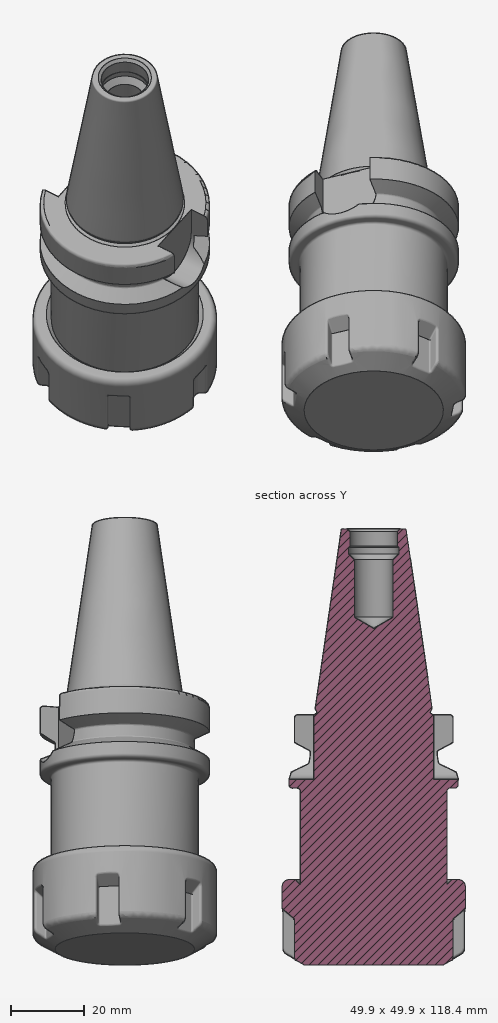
import cadquery as cq
import math


overcut = 1.0
axis_start = (0, 0, 0)
sketch_axis_end = (0, 1, 0)
z_direction = (0, 0, 1)

gauge_radius = 31.75 / 2
taper_length = 48.4
taper_rate = 7 / 24
tip_radius = gauge_radius - taper_length * taper_rate / 2
tip_fillet = 0.5
gauge_land = 0.5
relief_depth = 0.5
relief_bottom_z = -1.5
relief_foot_radius = 16.2

flange_radius = 46 / 2
flange_top_z = -2.0
flange_bottom_z = -22.0
flange_fillet = 1.0
groove_radius = 38 / 2
groove_center_z = -13.6
groove_mouth_width = 8.0
groove_slope = math.radians(30)
groove_corner_fillet = 0.4
groove_mouth_half = groove_mouth_width / 2
groove_floor_half = groove_mouth_half - (flange_radius - groove_radius) * math.tan(groove_slope)

drive_slot_width = 16.1
drive_slot_floor_x = 16.3
drive_slot_bottom_z = -19.5

body_radius = 40 / 2
body_top_fillet = 0.7

nut_radius = 49.9 / 2
nut_top_z = -46.7
nut_bottom_z = -70.0
nut_fillet = 2.0
nut_bore_radius = 21.3
nut_cone_slope = math.radians(30)
nut_cone_top_z = -66.5
nut_face_radius = nut_radius - (nut_cone_top_z - nut_bottom_z) / math.tan(nut_cone_slope)

wrench_slot_count = 6
wrench_slot_width = 6.0
wrench_slot_floor = 21.5
wrench_slot_top_z = -57.5
wrench_slot_slope = math.radians(40)
long_slot_extra = 2.3
long_slot_index = 5
wrench_slot_lip = 0.6
wrench_slot_corner = 0.4

counterbore_radius = 12.8 / 2
counterbore_depth = 4.7
hole_relief_radius = 13.6 / 2
hole_relief_height = 2.5
mouth_radius = 7.2
hole_radius = 10.4 / 2
hole_depth = 24.0
drill_tip_half_angle = math.radians(60)


def make_shank():
    """Steep taper with its relief groove, revolved about Z."""
    profile = (
        cq.Workplane("XZ")
        .moveTo(0, flange_bottom_z)
        .lineTo(relief_foot_radius, flange_bottom_z)
        .lineTo(relief_foot_radius, flange_top_z)
        .lineTo(gauge_radius - relief_depth, relief_bottom_z)
        .lineTo(gauge_radius, -gauge_land)
        .lineTo(gauge_radius, 0)
        .lineTo(tip_radius, taper_length)
        .lineTo(0, taper_length)
        .close()
    )
    return profile.revolve(360, axis_start, sketch_axis_end).faces(">Z").edges().fillet(tip_fillet)


def make_flange():
    """Grooved flange with two opposite drive slots."""
    height = flange_top_z - flange_bottom_z
    flange = cq.Workplane("XY").workplane(offset=flange_bottom_z).circle(flange_radius).extrude(height)
    flange = flange.faces("<Z or >Z").edges().fillet(flange_fillet)
    groove = (
        cq.Workplane("XZ")
        .moveTo(groove_radius, groove_center_z - groove_floor_half)
        .lineTo(flange_radius, groove_center_z - groove_mouth_half)
        .lineTo(flange_radius + overcut, groove_center_z - groove_mouth_half)
        .lineTo(flange_radius + overcut, groove_center_z + groove_mouth_half)
        .lineTo(flange_radius, groove_center_z + groove_mouth_half)
        .lineTo(groove_radius, groove_center_z + groove_floor_half)
        .close()
        .revolve(360, axis_start, sketch_axis_end)
    )
    on_floor = cq.selectors.RadiusNthSelector(0)
    groove = groove.edges("%CIRCLE").edges(on_floor).fillet(groove_corner_fillet)
    flange = flange.cut(groove)
    for side in (1, -1):
        flange = flange.cut(make_drive_slot(side))
    return flange


def make_drive_slot(side):
    """Cutter for a drive slot with a flat floor and a full-round lower end."""
    round_radius = drive_slot_width / 2
    round_z = drive_slot_bottom_z + round_radius
    return (
        cq.Workplane("YZ")
        .workplane(offset=side * drive_slot_floor_x)
        .moveTo(-round_radius, 0)
        .lineTo(-round_radius, round_z)
        .threePointArc((0, drive_slot_bottom_z), (round_radius, round_z))
        .lineTo(round_radius, 0)
        .close()
        .extrude(side * flange_radius)
    )


def make_body():
    """Plain cylinder from the flange into the nut, filleted under the flange."""
    profile = (
        cq.Workplane("XZ")
        .moveTo(0, nut_cone_top_z)
        .lineTo(body_radius, nut_cone_top_z)
        .lineTo(body_radius, flange_bottom_z - body_top_fillet)
        .radiusArc((body_radius + body_top_fillet, flange_bottom_z), body_top_fillet)
        .lineTo(0, flange_bottom_z)
        .close()
    )
    return profile.revolve(360, axis_start, sketch_axis_end)


def make_nut():
    """Clamping nut with a conical lower rim and wrench slots."""
    countersink = nut_bore_radius - body_radius
    nut = (
        cq.Workplane("XZ")
        .moveTo(0, nut_bottom_z)
        .lineTo(nut_face_radius, nut_bottom_z)
        .lineTo(nut_radius, nut_cone_top_z)
        .lineTo(nut_radius, nut_top_z)
        .lineTo(nut_bore_radius, nut_top_z)
        .lineTo(body_radius, nut_top_z - countersink)
        .lineTo(0, nut_top_z - countersink)
        .close()
        .revolve(360, axis_start, sketch_axis_end)
    )
    nut = nut.edges(cq.selectors.RadiusNthSelector(-1)).fillet(nut_fillet)
    nut = nut.rotate(axis_start, z_direction, 180 / wrench_slot_count)
    for index in range(wrench_slot_count):
        nut = cut_wrench_slot(nut, index)
    return nut


def cut_wrench_slot(nut, index):
    """Cut one wrench slot and round its outer rim."""
    top_z = wrench_slot_top_z
    if index == long_slot_index:
        top_z += long_slot_extra
    reach = nut_radius + overcut - wrench_slot_floor
    cutter = (
        cq.Workplane("XZ")
        .moveTo(wrench_slot_floor, nut_bottom_z - overcut)
        .lineTo(wrench_slot_floor, top_z)
        .lineTo(wrench_slot_floor + reach, top_z + reach * math.tan(wrench_slot_slope))
        .lineTo(wrench_slot_floor + reach, nut_bottom_z - overcut)
        .close()
        .extrude(wrench_slot_width / 2, both=True)
    )
    side_walls = cutter.faces("|Y")
    cutter = side_walls.edges("not >X").edges("not <Z").fillet(wrench_slot_corner)
    angle = index * 360 / wrench_slot_count
    turned = nut.rotate(axis_start, z_direction, -angle).cut(cutter)
    rim_region = cq.selectors.BoxSelector(
        (nut_radius - overcut, -wrench_slot_width, nut_bottom_z),
        (nut_radius + overcut, wrench_slot_width, nut_top_z - nut_fillet - overcut),
    )
    turned = turned.edges(rim_region).fillet(wrench_slot_lip)
    return turned.rotate(axis_start, z_direction, angle)


def make_hole():
    """Cutter for the stepped hole in the tip of the taper, with a thread relief groove."""
    mouth_chamfer = mouth_radius - counterbore_radius
    thread_chamfer = counterbore_radius - hole_radius
    relief_flare = hole_relief_radius - counterbore_radius
    relief_top = taper_length - counterbore_depth
    relief_bottom = relief_top - hole_relief_height
    hole_bottom = taper_length - hole_depth
    return (
        cq.Workplane("XZ")
        .moveTo(0, taper_length)
        .lineTo(mouth_radius, taper_length)
        .lineTo(counterbore_radius, taper_length - mouth_chamfer)
        .lineTo(counterbore_radius, relief_top)
        .lineTo(hole_relief_radius, relief_top - relief_flare)
        .lineTo(hole_relief_radius, relief_bottom + relief_flare)
        .lineTo(counterbore_radius, relief_bottom)
        .lineTo(hole_radius, relief_bottom - thread_chamfer)
        .lineTo(hole_radius, hole_bottom)
        .lineTo(0, hole_bottom - hole_radius / math.tan(drill_tip_half_angle))
        .close()
        .revolve(360, axis_start, sketch_axis_end)
    )


result = make_shank().union(make_flange()).union(make_body()).union(make_nut())
result = result.cut(make_hole())